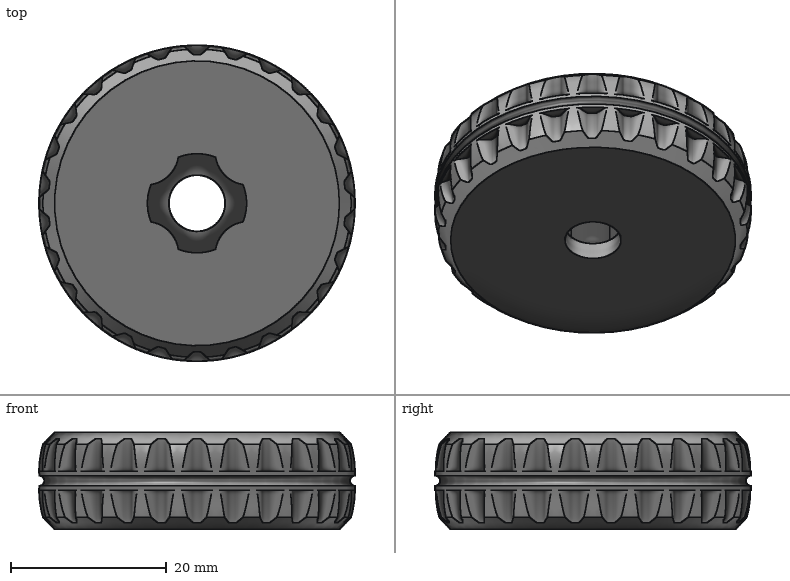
import math

import cadquery as cq

WHEEL_DIAMETER = 40.62
WHEEL_RADIUS = WHEEL_DIAMETER / 2
HEIGHT = 12.5
HALF_HEIGHT = HEIGHT / 2

FACE_RADIUS = 18.29
LIP_HALF_HEIGHT = 1.2
CROWN_RADIUS = 12.0
CHAMFER_HEIGHT = 1.56
GROOVE_RADIUS = 0.65

FLUTE_COUNT = 26
FLUTE_DEPTH = 1.22
FLUTE_FLOOR_WIDTH = 0.6
FLUTE_FLANK_ANGLE = 43.0
FLUTE_FILLET_RADIUS = 0.5
FLUTE_OVERCUT = 1.0

BORE_DIAMETER = 7.2
SOCKET_DIAMETER = 12.75
SOCKET_DEPTH = 10.0
LOBE_COUNT = 4
LOBE_RADIUS = 4.26
LOBE_TIP_RADIUS = 5.07


def make_half_blank():
    """Upper half as a solid of revolution: plain band, crowned tread and chamfer."""
    shoulder_z = HALF_HEIGHT - CHAMFER_HEIGHT
    crown_center_x = WHEEL_RADIUS - CROWN_RADIUS

    def crown_x(z):
        return crown_center_x + math.sqrt(CROWN_RADIUS**2 - (z - LIP_HALF_HEIGHT) ** 2)

    crown_middle_z = (LIP_HALF_HEIGHT + shoulder_z) / 2
    profile = (
        cq.Workplane("XZ")
        .lineTo(WHEEL_RADIUS, 0)
        .lineTo(WHEEL_RADIUS, LIP_HALF_HEIGHT)
        .threePointArc((crown_x(crown_middle_z), crown_middle_z), (crown_x(shoulder_z), shoulder_z))
        .lineTo(FACE_RADIUS, HALF_HEIGHT)
        .lineTo(0, HALF_HEIGHT)
        .close()
    )
    return profile.revolve(360, (0, 0), (0, 1))


def make_groove():
    """Ring of round section, centered on the rim in the middle plane."""
    section = cq.Workplane("XZ").center(WHEEL_RADIUS, 0).circle(GROOVE_RADIUS)
    return section.revolve(360, (-WHEEL_RADIUS, 0), (-WHEEL_RADIUS, 1))


def flute_half_outline():
    """Points of the +X half of a flute at +Y, from the floor outward.

    They are the ends and middles of the two fillets: the inner one joins floor and flank,
    the outer one joins the flank to the rim circle.
    """
    flank = math.radians(FLUTE_FLANK_ANGLE)
    fillet = FLUTE_FILLET_RADIUS
    floor_x = FLUTE_FLOOR_WIDTH / 2
    floor_y = WHEEL_RADIUS - FLUTE_DEPTH

    def inner_point(angle):
        return (floor_x + fillet * math.sin(angle), floor_y + fillet * (1 - math.cos(angle)))

    flank_start = inner_point(flank)

    base_x = flank_start[0] + fillet * math.sin(flank)
    base_y = flank_start[1] - fillet * math.cos(flank)
    center_distance = WHEEL_RADIUS - fillet
    along = base_x * math.cos(flank) + base_y * math.sin(flank)
    across = base_x * math.sin(flank) - base_y * math.cos(flank)
    travel = math.sqrt(center_distance**2 - across**2) - along
    center_x = base_x + travel * math.cos(flank)
    center_y = base_y + travel * math.sin(flank)

    def outer_point(angle):
        return (center_x - fillet * math.sin(angle), center_y + fillet * math.cos(angle))

    rim_angle = -math.atan2(center_x, center_y)
    return [
        (floor_x, floor_y),
        inner_point(flank / 2),
        flank_start,
        outer_point(flank),
        outer_point((flank + rim_angle) / 2),
        outer_point(rim_angle),
    ]


def make_flute_cutter():
    """Cutter for one flute above the plain band, on the +Y side."""
    floor_end, inner_middle, flank_start, flank_end, outer_middle, rim_point = flute_half_outline()
    outer_y = WHEEL_RADIUS + FLUTE_OVERCUT

    def mirrored(point):
        return (-point[0], point[1])

    return (
        cq.Workplane("XY", origin=(0, 0, LIP_HALF_HEIGHT))
        .moveTo(*mirrored(floor_end))
        .lineTo(*floor_end)
        .threePointArc(inner_middle, flank_start)
        .lineTo(*flank_end)
        .threePointArc(outer_middle, rim_point)
        .lineTo(rim_point[0], outer_y)
        .lineTo(-rim_point[0], outer_y)
        .lineTo(*mirrored(rim_point))
        .threePointArc(mirrored(outer_middle), mirrored(flank_end))
        .lineTo(*mirrored(flank_start))
        .threePointArc(mirrored(inner_middle), mirrored(floor_end))
        .close()
        .extrude(HALF_HEIGHT - LIP_HALF_HEIGHT)
    )


def cut_flutes(half):
    """Cut the flutes, evenly spaced around the rim of the upper half."""
    cutter = make_flute_cutter().val()
    axis_start = (0, 0, 0)
    axis_end = (0, 0, 1)
    pitch_angle = 360 / FLUTE_COUNT
    cutters = [cutter.rotate(axis_start, axis_end, index * pitch_angle) for index in range(FLUTE_COUNT)]
    return half.cut(cq.Workplane(cq.Compound.makeCompound(cutters)))


def make_socket():
    """Round blind socket open at the top, narrowed by four lobes on the diagonals."""
    base = cq.Workplane("XY", origin=(0, 0, HALF_HEIGHT - SOCKET_DEPTH))
    socket = base.circle(SOCKET_DIAMETER / 2).extrude(SOCKET_DEPTH)
    lobe_center_distance = LOBE_TIP_RADIUS + LOBE_RADIUS
    first_lobe_angle = 180 / LOBE_COUNT
    lobes = (
        base.polarArray(lobe_center_distance, first_lobe_angle, 360, LOBE_COUNT)
        .circle(LOBE_RADIUS)
        .extrude(SOCKET_DEPTH)
    )
    return socket.cut(lobes)


def make_bore():
    """Round hole through the whole part."""
    base = cq.Workplane("XY", origin=(0, 0, -HALF_HEIGHT))
    return base.circle(BORE_DIAMETER / 2).extrude(HEIGHT)


upper_half = cut_flutes(make_half_blank())
wheel = upper_half.union(upper_half.mirror("XY"))
wheel = wheel.cut(make_groove()).cut(make_socket()).cut(make_bore())
result = wheel.solids()